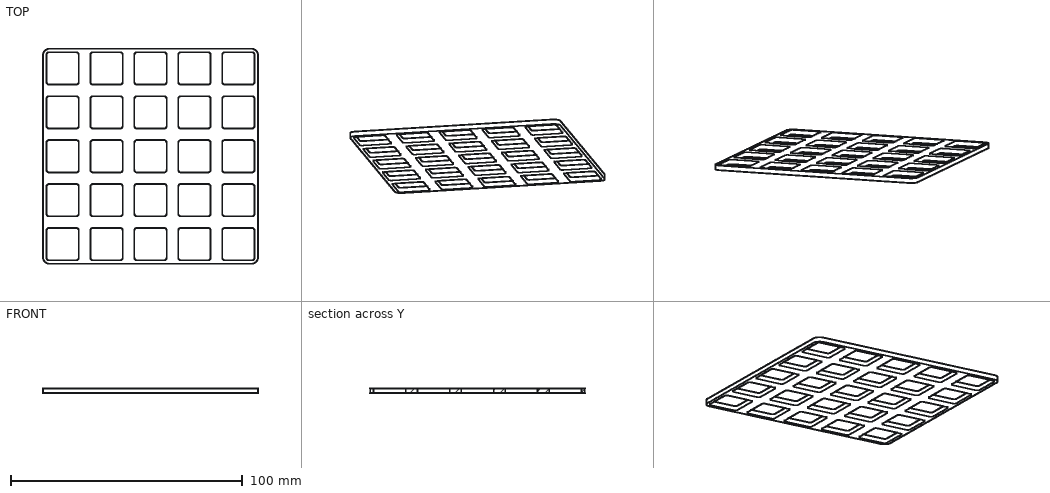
import cadquery as cq

plate_side = 93.0
plate_thickness = 2.0
plate_corner_radius = 3.0

windows_per_side = 5
window_side = 13.9
window_pitch = 19.0
window_corner_radius = 1.0


def rounded_square_block(side, corner_radius):
    """Block of plate thickness with rounded vertical edges, resting on Z = 0."""
    block = cq.Workplane("XY").rect(side, side).extrude(plate_thickness)
    return block.edges("|Z").fillet(corner_radius)


def window_cutters():
    """One through-cutting block for every window in the grid, centred on the plate."""
    window = rounded_square_block(window_side, window_corner_radius).val()
    return (
        cq.Workplane("XY")
        .rarray(window_pitch, window_pitch, windows_per_side, windows_per_side)
        .eachpoint(lambda location: window.moved(location), combine=False)
    )


plate = rounded_square_block(plate_side, plate_corner_radius)
result = plate.cut(window_cutters())